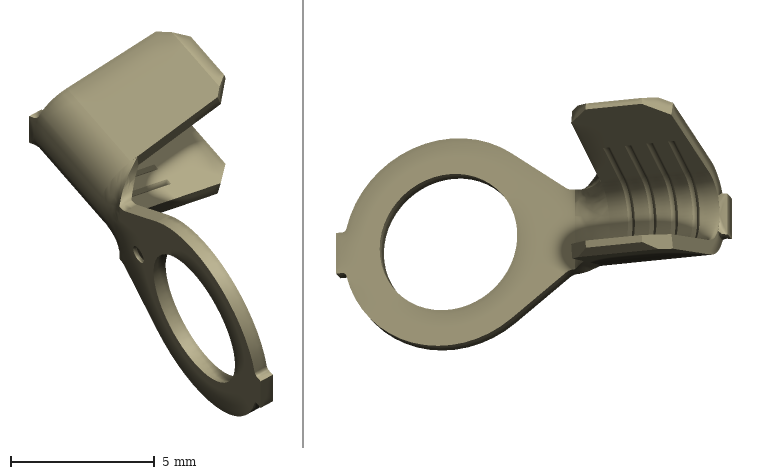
import cadquery as cq
import math

sheet = 0.51

ring_radius = 7.62 / 2
hole_radius = 2.5
shoulder_angle = 36.9
neck_half_width = 1.47
shoulder_fillet = 0.45

dimple_x = -3.43
dimple_radius = 0.33
dimple_depth = 0.15

ring_tab_end = 4.08
barrel_tab_end = -10.14
tab_half_width = 0.75
tab_fillet = 0.16

barrel_left = -9.89
barrel_right = -5.85
left_edge_slope = 0.085
barrel_radius = 1.8
wing_lean = 15
wing_top = 5.84
right_corner_chamfer = 0.73
left_corner_chamfer = 0.77
tip_bevel_length = 0.44
tip_bevel_depth = 0.26

neck_start_angle = 84
neck_middle_x = -5.2
neck_middle_radius = 2.4
neck_middle_angle = 42.5
neck_flat_x = -4.6

groove_count = 4
groove_pitch = 0.785
first_groove_x = -9.0
groove_width = 0.25
groove_depth = groove_width / 2
groove_top = 3.5

inner_radius = barrel_radius - sheet
lean_sin = math.sin(math.radians(wing_lean))
lean_cos = math.cos(math.radians(wing_lean))
bend_start_y = barrel_radius - inner_radius * lean_sin
wing_length = (wing_top - bend_start_y) / lean_cos
groove_length = (groove_top - bend_start_y) / lean_cos
overlap = 0.2


def curled_section(x, radius, half_angle):
    """Section across the curled sheet at x, reaching half_angle degrees to each side."""
    inside = radius - sheet
    reach_sin = math.sin(math.radians(half_angle))
    reach_cos = math.cos(math.radians(half_angle))

    def corner(face_radius, side):
        return (radius - face_radius * reach_cos, side * face_radius * reach_sin)

    plane = cq.Plane(origin=(x, 0, 0), xDir=(0, 1, 0), normal=(1, 0, 0))
    return (
        cq.Workplane(plane)
        .moveTo(*corner(radius, -1))
        .threePointArc((0, 0), corner(radius, 1))
        .lineTo(*corner(inside, 1))
        .threePointArc((sheet, 0), corner(inside, -1))
        .close()
    )


def flat_section(x, half_width):
    """Section across the flat sheet at x."""
    plane = cq.Plane(origin=(x, 0, 0), xDir=(0, 1, 0), normal=(1, 0, 0))
    return (
        cq.Workplane(plane)
        .moveTo(0, -half_width)
        .lineTo(0, half_width)
        .lineTo(sheet, half_width)
        .lineTo(sheet, -half_width)
        .close()
    )


def lofted_body(sections, ruled):
    """Solid through closed sections, straight-ruled or smooth."""
    wires = [section.wire().val() for section in sections]
    return cq.Workplane(cq.Solid.makeLoft(wires, ruled))


def outer_face():
    """Sketch plane on the outer sheet face; negative extrusion runs into the sheet."""
    return cq.Workplane("XZ")


def make_ring_plate():
    """Ring, shoulders, neck strip and end tab, all flat."""
    angle = math.radians(shoulder_angle)
    tangent_x = -ring_radius * math.sin(angle)
    tangent_z = ring_radius * math.cos(angle)
    shoulder_x = tangent_x - (tangent_z - neck_half_width) / math.tan(angle)
    plate = (
        outer_face()
        .moveTo(neck_flat_x, -neck_half_width)
        .lineTo(shoulder_x, -neck_half_width)
        .lineTo(tangent_x, -tangent_z)
        .threePointArc((ring_radius, 0), (tangent_x, tangent_z))
        .lineTo(shoulder_x, neck_half_width)
        .lineTo(neck_flat_x, neck_half_width)
        .close()
        .extrude(-sheet)
    )
    tab = (
        outer_face()
        .moveTo(ring_tab_end / 2, 0)
        .rect(ring_tab_end, 2 * tab_half_width)
        .extrude(-sheet)
    )
    shoulder_edges = cq.selectors.BoxSelector(
        (shoulder_x - overlap, -sheet, -2 * neck_half_width),
        (shoulder_x + overlap, 2 * sheet, 2 * neck_half_width),
    )
    tab_root_x = math.sqrt(ring_radius**2 - tab_half_width**2)
    tab_edges = cq.selectors.BoxSelector(
        (tab_root_x - overlap, -sheet, -2 * tab_half_width),
        (tab_root_x + overlap, 2 * sheet, 2 * tab_half_width),
    )
    plate = plate.edges("|Y").edges(shoulder_edges).fillet(shoulder_fillet)
    plate = plate.union(tab).edges("|Y").edges(tab_edges).fillet(tab_fillet)
    hole = outer_face().circle(hole_radius).extrude(-sheet)
    dimple = outer_face().center(dimple_x, 0).circle(dimple_radius).extrude(-dimple_depth)
    return plate.cut(hole).cut(dimple)


def wing_plane(radius):
    """Plane on the upper wing face of the given bend radius: X along X, Y up the wing."""
    origin = (0, barrel_radius - radius * lean_sin, radius * lean_cos)
    return cq.Plane(origin=origin, xDir=(1, 0, 0), normal=(0, -lean_sin, lean_cos))


def make_wing():
    """Upper wing with chamfered corners and a bevelled tip; its left side is left long."""
    tip_left = barrel_left + left_edge_slope * wing_top
    far_left = barrel_left - overlap
    blank = (
        cq.Workplane(wing_plane(barrel_radius))
        .moveTo(far_left, 0)
        .lineTo(barrel_right, 0)
        .lineTo(barrel_right, wing_length - right_corner_chamfer)
        .lineTo(barrel_right - right_corner_chamfer, wing_length)
        .lineTo(tip_left + left_corner_chamfer, wing_length)
        .lineTo(far_left, wing_length - left_corner_chamfer - (tip_left - far_left))
        .close()
        .extrude(-sheet)
    )
    face = wing_plane(barrel_radius)
    side = cq.Plane(origin=face.toWorldCoords((far_left, wing_length, 0)), xDir=face.yDir, normal=(1, 0, 0))
    bevel = (
        cq.Workplane(side)
        .moveTo(-tip_bevel_length, 0)
        .lineTo(0, 0)
        .lineTo(0, -tip_bevel_depth)
        .close()
        .extrude(barrel_right - far_left)
    )
    return blank.cut(bevel)


def make_barrel():
    """Floor and both wings, trimmed to the sloping left edge."""
    far_left = barrel_left - overlap
    floor = curled_section(far_left, barrel_radius, 90 - wing_lean).extrude(barrel_right - far_left)
    wing = make_wing()
    barrel = floor.union(wing).union(wing.mirror("XY"))
    left_trim = (
        cq.Workplane("XY")
        .moveTo(barrel_left, 0)
        .lineTo(barrel_left + left_edge_slope * wing_top, wing_top)
        .lineTo(far_left, wing_top)
        .lineTo(far_left, 0)
        .close()
        .extrude(wing_top, both=True)
    )
    return barrel.cut(left_trim)


def make_neck():
    """Sheet uncurling from the barrel to the flat neck strip."""
    sections = [
        curled_section(barrel_right, barrel_radius, neck_start_angle),
        curled_section(neck_middle_x, neck_middle_radius, neck_middle_angle),
        flat_section(neck_flat_x, neck_half_width),
    ]
    return lofted_body(sections, ruled=False)


def make_barrel_tab():
    """Short tab that flattens out from the left end of the barrel floor."""
    root_x = barrel_left + left_edge_slope * sheet
    wide = tab_half_width + tab_fillet
    root_angle = math.degrees(math.asin(wide / barrel_radius))
    sections = [
        flat_section(barrel_tab_end, wide),
        curled_section(root_x, barrel_radius, root_angle),
    ]
    blank = lofted_body(sections, ruled=True)
    fillet_x = root_x - tab_fillet
    outline = outer_face().moveTo(barrel_tab_end, -tab_half_width).lineTo(fillet_x, -tab_half_width)
    outline = outline.radiusArc((root_x, -wide), tab_fillet).lineTo(root_x, wide)
    outline = outline.radiusArc((fillet_x, tab_half_width), tab_fillet)
    outline = outline.lineTo(barrel_tab_end, tab_half_width).close().extrude(-2 * sheet)
    return blank.intersect(outline)


def make_groove(x):
    """Cutter for one V groove running down one wing, round the floor and up the other."""
    half_width = groove_width / 2
    face = wing_plane(inner_radius)
    across = cq.Plane(origin=face.origin, xDir=(-1, 0, 0), normal=face.yDir.toTuple())
    vee = cq.Sketch().polygon([
        (-x - half_width, 0),
        (-x + half_width, 0),
        (-x, groove_depth),
        (-x - half_width, 0),
    ])
    along = cq.Plane(origin=face.toWorldCoords((x - half_width, 0, 0)), xDir=face.yDir, normal=(1, 0, 0))
    run_out = (
        cq.Workplane(along)
        .lineTo(groove_length, 0)
        .lineTo(groove_length - groove_depth, groove_depth)
        .lineTo(0, groove_depth)
        .close()
        .extrude(groove_width)
    )
    straight = cq.Workplane(across).placeSketch(vee).extrude(groove_length).intersect(run_out)
    bend = cq.Workplane(across).placeSketch(vee)
    bend = bend.revolve(180 - 2 * wing_lean, (0, -inner_radius), (-1, -inner_radius))
    return straight.union(bend).union(straight.mirror("XY"))


result = make_ring_plate().union(make_neck()).union(make_barrel()).union(make_barrel_tab())
for index in range(groove_count):
    result = result.cut(make_groove(first_groove_x + index * groove_pitch))